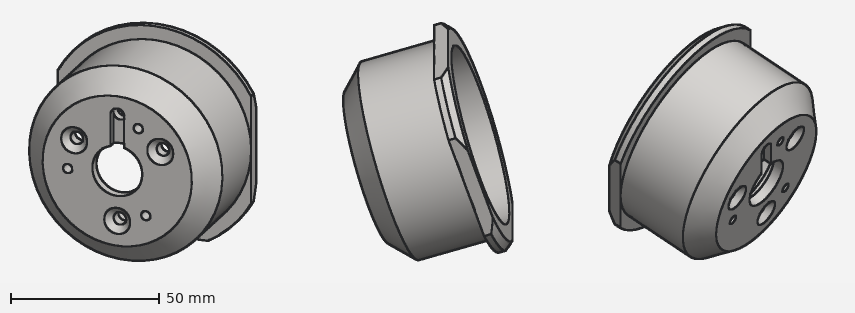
import cadquery as cq
import math

total_depth = 40.0
body_radius = 35.0
nose_chamfer = 8.0
front_wall = 7.0
side_wall = 3.5

flange_radius = 40.0
flange_thickness = 5.0
flange_chamfer = 2.5

bore_diameter = 18.0
recess_diameter = 26.0
recess_depth = 3.0
keyway_width = 5.0
keyway_depth = 3.0
keyway_end_height = 20.0

hole_circle_radius = 18.0
screw_diameter = 4.5
countersink_diameter = 9.4
countersink_angle = 90.0
screw_angles = (30.0, 150.0, 270.0)
pin_diameter = 3.3
pin_angles = (65.0, 185.0, 305.0)


def cylinder_y(radius, start, length, x=0.0, z=0.0):
    """Solid cylinder parallel to Y, running rearward from y = start."""
    return cq.Workplane(cq.Solid.makeCylinder(
        radius, length, cq.Vector(x, start, z), cq.Vector(0, 1, 0)))


def on_hole_circle(angle):
    """X and Z of a point on the hole circle."""
    radians = math.radians(angle)
    return hole_circle_radius * math.cos(radians), hole_circle_radius * math.sin(radians)


def make_body():
    """Round body with its front edge bevelled."""
    return cylinder_y(body_radius, 0, total_depth).faces("<Y").chamfer(nose_chamfer)


def make_flange():
    """Rear disc with a bevelled back edge, trimmed flat on three sides."""
    start = total_depth - flange_thickness
    disc = cylinder_y(flange_radius, start, flange_thickness)
    disc = disc.faces(">Y").chamfer(flange_chamfer)
    trim_height = body_radius + flange_radius
    trim = cq.Workplane("XY").box(2 * body_radius, flange_thickness, trim_height)
    trim = trim.translate((0, start + flange_thickness / 2, trim_height / 2 - body_radius))
    return disc.intersect(trim)


def make_cavity():
    """Round cavity behind the front wall, open at the rear."""
    return cylinder_y(body_radius - side_wall, front_wall, total_depth - front_wall)


def make_bore():
    """Bore through the front wall, with a wider recess on the cavity side."""
    bore = cylinder_y(bore_diameter / 2, 0, front_wall)
    recess = cylinder_y(recess_diameter / 2, front_wall - recess_depth, recess_depth)
    return bore.union(recess)


def make_keyway():
    """Blind slot above the bore, with a through hole at its upper end."""
    slot = cq.Workplane("XY").box(
        keyway_width, keyway_depth, keyway_end_height, centered=(True, False, False))
    end_hole = cylinder_y(keyway_width / 2, 0, front_wall, z=keyway_end_height)
    return slot.union(end_hole)


def make_screw_hole(x, z):
    """Clearance hole with a countersink opening at the front face."""
    outer = countersink_diameter / 2
    inner = screw_diameter / 2
    sink_depth = (outer - inner) / math.tan(math.radians(countersink_angle / 2))
    sink = cq.Solid.makeCone(
        outer, inner, sink_depth, cq.Vector(x, 0, z), cq.Vector(0, 1, 0))
    return cylinder_y(inner, 0, front_wall, x, z).union(cq.Workplane(sink))


result = make_body().union(make_flange())
result = result.cut(make_cavity())
result = result.cut(make_bore())
result = result.cut(make_keyway())

for screw_angle in screw_angles:
    result = result.cut(make_screw_hole(*on_hole_circle(screw_angle)))

for pin_angle in pin_angles:
    pin_x, pin_z = on_hole_circle(pin_angle)
    result = result.cut(cylinder_y(pin_diameter / 2, 0, front_wall, pin_x, pin_z))